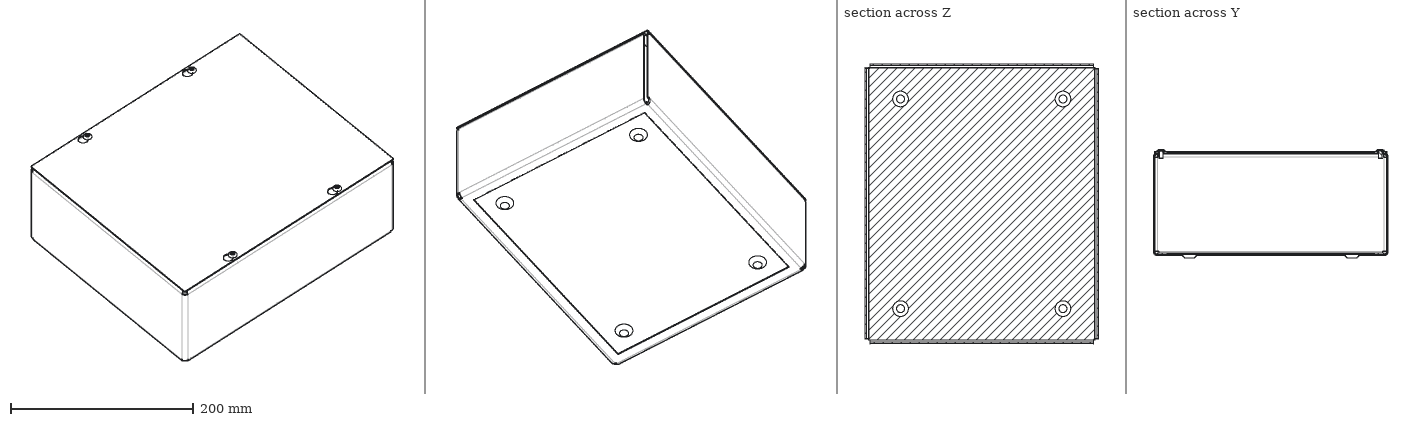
import cadquery as cq
import math

width = 257.2
depth = 308.0
total_height = 119.2

sheet = 1.5
bend_radius = 4.5
inner_radius = bend_radius - sheet
flange_width = 14.8
top_relief = bend_radius
bottom_relief = 6.0
seam_gap = 6.0
miter_start = 2.5

foot_height = 2.8
head_height = 2.2
dome_height = 2.8
shell_bottom = -total_height / 2 + foot_height
shell_top = total_height / 2 - head_height - sheet
shell_height = shell_top - shell_bottom

lid_inset = 1.2
floor_inset = bend_radius

screw_x = 120.0
screw_y = 76.5
head_diameter = 10.0
shank_diameter = 4.3
shank_length = 7.7
recess_length = 3.7
recess_width = 1.0
recess_depth = 1.2
slot_width = 6.0
entry_diameter = 10.8
entry_offset = 6.5

foot_x = 89.0
foot_y = 115.0
foot_tip_diameter = 10.0
foot_base_diameter = 16.0

screw_positions = [(sx * screw_x, sy * screw_y) for sx in (-1, 1) for sy in (-1, 1)]
foot_positions = [(sx * foot_x, sy * foot_y) for sx in (-1, 1) for sy in (-1, 1)]


def plate(inset, bottom, thickness):
    """Rectangular plate, set in from the outer wall faces on all four sides."""
    blank = cq.Workplane("XY").workplane(offset=bottom)
    return blank.rect(width - 2 * inset, depth - 2 * inset).extrude(thickness)


def rounded_block(inset, radius):
    """Shell envelope moved inward by inset, with its three bent corners and all rims rounded."""
    block = plate(inset, shell_bottom + inset, shell_height - 2 * inset)
    block = block.edges("|Z").edges(">X or <Y").fillet(radius)
    return block.faces(">Z or <Z").edges().fillet(radius)


def corner_block(side_x, side_y, size, bottom, height):
    """Square cutting block at one vertical corner of the shell."""
    center_x = side_x * (width - size) / 2
    center_y = side_y * (depth - size) / 2
    block = cq.Workplane("XY").workplane(offset=bottom)
    return block.center(center_x, center_y).rect(size, size).extrude(height)


def seam_miter(rim, inward):
    """Wedge that trims a left wall bend at 45 degrees; inward is +1 at the bottom rim, -1 at the top."""
    back = depth / 2
    tangent = rim + inward * bend_radius
    points = [
        (back, rim),
        (back, tangent),
        (back - miter_start, tangent),
        (back - miter_start - bend_radius, rim),
    ]
    wedge = cq.Workplane("YZ").workplane(offset=-width / 2).polyline(points).close()
    return wedge.extrude(seam_gap)


def make_shell():
    """Four walls with inward flanges at top and bottom, open seam at the back left corner."""
    shell = rounded_block(0, bend_radius).cut(rounded_block(sheet, inner_radius))
    shell = shell.cut(plate(flange_width, shell_bottom, shell_height))

    for side_x, side_y in [(-1, -1), (1, -1), (1, 1)]:
        shell = shell.cut(corner_block(side_x, side_y, bottom_relief, shell_bottom, bend_radius))
        shell = shell.cut(corner_block(side_x, side_y, top_relief, shell_top - bend_radius, bend_radius))

    seam = (
        cq.Workplane("XY", origin=(sheet - width / 2, depth / 2 - miter_start, shell_bottom))
        .rect(seam_gap - sheet, miter_start, centered=False).extrude(shell_height)
    )
    shell = shell.cut(seam)
    shell = shell.cut(seam_miter(shell_bottom, 1)).cut(seam_miter(shell_top, -1))

    screw_holes = (
        cq.Workplane("XY").workplane(offset=shell_top - sheet)
        .pushPoints(screw_positions).circle(shank_diameter / 2).extrude(sheet)
    )
    return shell.cut(screw_holes)


def make_lid():
    """Flat cover with four keyhole slots."""
    lid = plate(lid_inset, shell_top, sheet)
    for x, y in screw_positions:
        base = cq.Workplane("XY", origin=(x, y, shell_top))
        screw_end = base.circle(slot_width / 2).extrude(sheet)
        neck = base.center(0, -entry_offset / 2).rect(slot_width, entry_offset).extrude(sheet)
        entry = base.center(0, -entry_offset).circle(entry_diameter / 2).extrude(sheet)
        lid = lid.cut(screw_end).cut(neck).cut(entry)
    return lid


def make_floor():
    """Bottom plate resting on the lower flanges, with four hollow embossed feet."""
    floor_bottom = shell_bottom + sheet
    floor = plate(floor_inset, floor_bottom, sheet)
    slope = (foot_base_diameter - foot_tip_diameter) / 2 / foot_height
    drop = foot_height + sheet
    tip_radius = foot_tip_diameter / 2
    top_radius = tip_radius + slope * drop
    wall = sheet * math.hypot(1, slope)
    up = cq.Vector(0, 0, 1)
    for x, y in foot_positions:
        tip = cq.Vector(x, y, floor_bottom - drop)
        foot = cq.Solid.makeCone(tip_radius, top_radius, drop, tip, up)
        dimple_bottom = tip_radius + slope * sheet - wall
        dimple_top = top_radius + slope * sheet - wall
        dimple = cq.Solid.makeCone(dimple_bottom, dimple_top, drop, tip + up * sheet, up)
        floor = floor.union(foot).cut(dimple)
    return floor


def make_screw(x, y):
    """Domed screw with a cross recess."""
    seat_height = shell_top + sheet
    head_radius = head_diameter / 2
    seat = cq.Workplane("XY", origin=(x, y, seat_height))
    dome_radius = (head_radius ** 2 + dome_height ** 2) / (2 * dome_height)
    dome = cq.Workplane("XY").sphere(dome_radius).translate((x, y, seat_height + dome_height - dome_radius))
    head = seat.circle(head_radius).extrude(head_height).intersect(dome)
    shank = seat.circle(shank_diameter / 2).extrude(-shank_length)
    recess_plane = seat.workplane(offset=head_height - recess_depth)
    recess = recess_plane.rect(recess_length, recess_width).extrude(recess_depth)
    recess = recess.union(recess_plane.rect(recess_width, recess_length).extrude(recess_depth))
    return head.union(shank).cut(recess)


shell = make_shell()
lid = make_lid()
floor = make_floor()
screws = [make_screw(x, y) for x, y in screw_positions]

result = cq.Compound.makeCompound(
    [shell.val(), lid.val(), floor.val()] + [screw.val() for screw in screws]
)